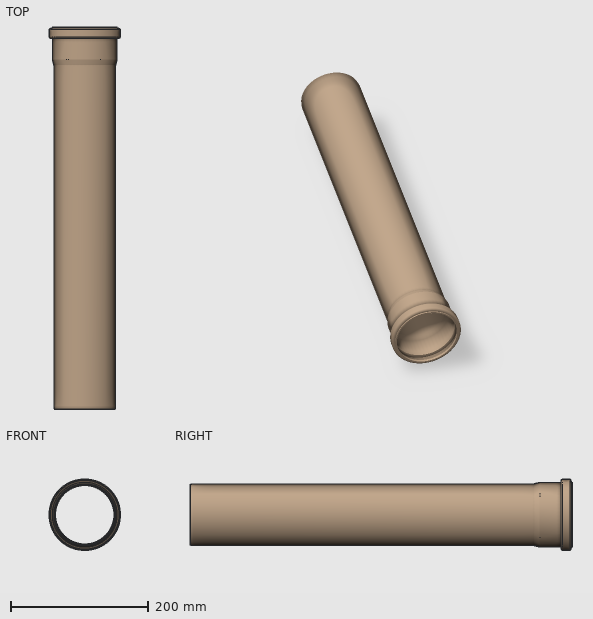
import cadquery as cq

length = 558.0
pipe_diameter = 90.5
bore_diameter = 85.5

socket_outer_diameter = 95.0
socket_inner_diameter = 91.0
socket_depth = 47.5
taper_length = 8.5

collar_diameter = 104.5
groove_diameter = 100.5
collar_start = 1.5
collar_end = 17.0
collar_round = 3.5
collar_wall = (collar_diameter - groove_diameter) / 2
groove_start = collar_start + collar_wall
groove_end = collar_end - collar_wall

bevel_length = 4.0
bevel_depth = 0.85


def rod(diameter, start, end):
    """Solid cylinder along Y between two stations."""
    return cq.Workplane("XZ", origin=(0, start, 0)).circle(diameter / 2).extrude(start - end)


def stepped_rod(narrow_diameter, wide_diameter):
    """Long rod that tapers out to the wider socket diameter."""
    narrow = narrow_diameter / 2
    wide = wide_diameter / 2
    taper_end = length - socket_depth
    taper_start = taper_end - taper_length
    return (
        cq.Workplane("XY")
        .moveTo(0, 0)
        .lineTo(narrow, 0)
        .lineTo(narrow, taper_start)
        .lineTo(wide, taper_end)
        .lineTo(wide, length)
        .lineTo(0, length)
        .close()
        .revolve(360, (0, 0, 0), (0, 1, 0))
    )


def bevelled_body():
    """Outside of the pipe and socket, with the plain end bevelled."""
    body = stepped_rod(pipe_diameter, socket_outer_diameter)
    return body.faces("<Y").chamfer(bevel_depth, bevel_length)


def collar():
    """Outside of the collar, with both rims rounded."""
    blank = rod(collar_diameter, length - collar_end, length - collar_start)
    return blank.edges("%CIRCLE").fillet(collar_round)


seal_groove = rod(groove_diameter, length - groove_end, length - groove_start)
cavity = stepped_rod(bore_diameter, socket_inner_diameter).union(seal_groove)

result = bevelled_body().union(collar()).cut(cavity)